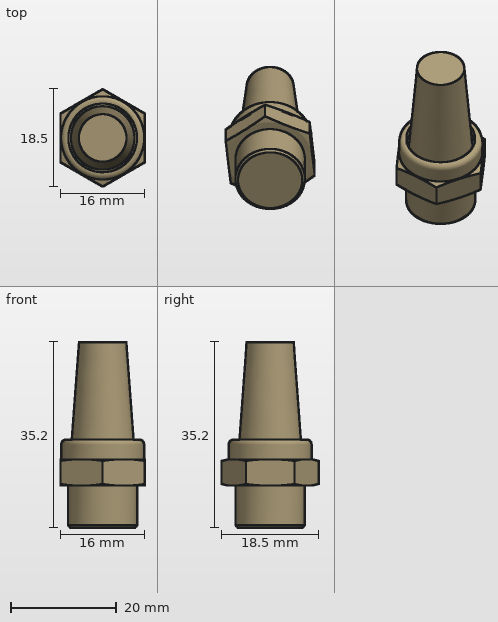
import cadquery as cq
import math

TOTAL_HEIGHT = 35.2
SPIGOT_LENGTH = 8.0
HEX_HEIGHT = 5.0
COLLAR_HEIGHT = 3.73

SPIGOT_DIAMETER = 13.15
SPIGOT_CHAMFER = 0.5
HEX_ACROSS_FLATS = 16.0
HEX_BEVEL_DROP = 0.3
COLLAR_DIAMETER = 15.77
COLLAR_ROUND = 1.0
RECESS_DIAMETER = 13.02
RECESS_DEPTH = 1.83

ELEMENT_BASE_DIAMETER = 12.05
ELEMENT_TOP_DIAMETER = 9.0

hex_top = SPIGOT_LENGTH + HEX_HEIGHT
collar_top = hex_top + COLLAR_HEIGHT
recess_floor = collar_top - RECESS_DEPTH
hex_across_corners = HEX_ACROSS_FLATS / math.cos(math.pi / 6)


def make_spigot():
    """Round lower end with a chamfered lip."""
    spigot = cq.Workplane("XY").circle(SPIGOT_DIAMETER / 2).extrude(SPIGOT_LENGTH)
    return spigot.faces("<Z").chamfer(SPIGOT_CHAMFER)


def make_hexagon():
    """Wrench hexagon, corners along Y, with both ends turned to a shallow cone."""
    prism = (
        cq.Workplane("XY", origin=(0, 0, SPIGOT_LENGTH))
        .transformed(rotate=(0, 0, 90))
        .polygon(6, hex_across_corners)
        .extrude(HEX_HEIGHT)
    )
    flat_radius = HEX_ACROSS_FLATS / 2
    corner_radius = hex_across_corners / 2
    turned_blank = (
        cq.Workplane("XZ")
        .moveTo(0, SPIGOT_LENGTH)
        .lineTo(flat_radius, SPIGOT_LENGTH)
        .lineTo(corner_radius, SPIGOT_LENGTH + HEX_BEVEL_DROP)
        .lineTo(corner_radius, hex_top - HEX_BEVEL_DROP)
        .lineTo(flat_radius, hex_top)
        .lineTo(0, hex_top)
        .close()
        .revolve()
    )
    return prism.intersect(turned_blank)


def make_collar():
    """Round collar above the hexagon with a rounded outer rim."""
    collar = (
        cq.Workplane("XY", origin=(0, 0, hex_top))
        .circle(COLLAR_DIAMETER / 2)
        .extrude(COLLAR_HEIGHT)
    )
    return collar.faces(">Z").edges().fillet(COLLAR_ROUND)


def make_housing():
    """Hexagon fitting with a round recess for the element."""
    recess = (
        cq.Workplane("XY", origin=(0, 0, recess_floor))
        .circle(RECESS_DIAMETER / 2)
        .extrude(RECESS_DEPTH)
    )
    return make_spigot().union(make_hexagon()).union(make_collar()).cut(recess)


def make_element():
    """Solid tapered element resting on the recess floor."""
    return (
        cq.Workplane("XZ")
        .moveTo(0, recess_floor)
        .lineTo(ELEMENT_BASE_DIAMETER / 2, recess_floor)
        .lineTo(ELEMENT_TOP_DIAMETER / 2, TOTAL_HEIGHT)
        .lineTo(0, TOTAL_HEIGHT)
        .close()
        .revolve()
    )


housing = make_housing()
element = make_element()

result = cq.Compound.makeCompound([housing.val(), element.val()])